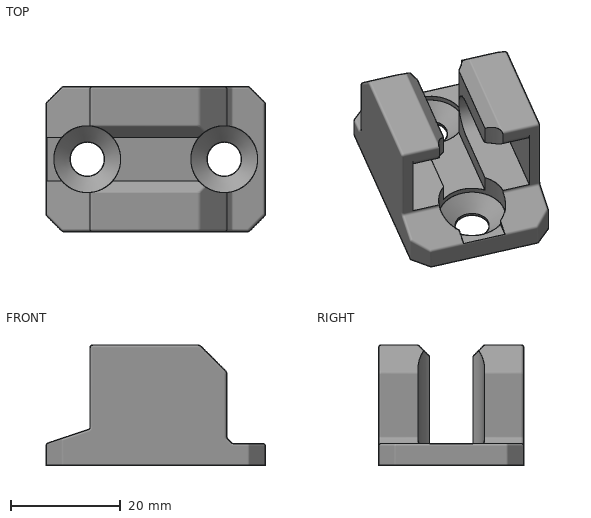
import math

import cadquery as cq

LENGTH = 40.0
WIDTH = 26.5
HEIGHT = 22.0

BASE_HEIGHT = 4.0
WALL_FRONT_X = 8.0
WALL_BACK_X = 33.0
RAMP_SLOPE = 1 / 3
BACK_CHAMFER = 5.0
BACK_CORNER_RADIUS = 0.9
FOOT_CHAMFER = 1.0

CORNER_CHAMFER = 3.0
EDGE_RADIUS = 0.5

SLOT_WIDTH = 7.9
LIP_CHAMFER = 2.1

POCKET_WIDTH = 22.25
POCKET_FLOOR = 7.2
POCKET_END_RADIUS = 4.3
POCKET_END_CENTRE_X = 23.5
CEILING_TILT = 90.0
FLARE_ARCS = [(5.0, 68.0), (11.0, 43.0), (1.5, 0.0)]

HOLE_INSET = 7.5
HOLE_DIAMETER = 6.2
HEAD_DIAMETER = 12.2
CONE_BOTTOM = 0.5
CONE_TOP = 3.0

POCKET_CEILING = POCKET_FLOOR + 2 * POCKET_END_RADIUS
OVERCUT = 1.0


def make_body():
    """Side profile with a rounded back bevel, extruded, with the plan corners cut off."""
    ramp_top = BASE_HEIGHT + WALL_FRONT_X * RAMP_SLOPE
    body = (
        cq.Workplane("XZ")
        .polyline([
            (0, 0),
            (LENGTH, 0),
            (LENGTH, BASE_HEIGHT),
            (WALL_BACK_X + FOOT_CHAMFER, BASE_HEIGHT),
            (WALL_BACK_X, BASE_HEIGHT + FOOT_CHAMFER),
            (WALL_BACK_X, HEIGHT - BACK_CHAMFER),
            (WALL_BACK_X - BACK_CHAMFER, HEIGHT),
            (WALL_FRONT_X, HEIGHT),
            (WALL_FRONT_X, ramp_top),
            (0, BASE_HEIGHT),
        ])
        .close()
        .extrude(WIDTH / 2, both=True)
    )
    plan = (
        cq.Workplane("XY")
        .rect(LENGTH, WIDTH)
        .extrude(HEIGHT)
        .edges("|Z")
        .chamfer(CORNER_CHAMFER)
        .translate((LENGTH / 2, 0, 0))
    )
    back_corners = cq.selectors.BoxSelector(
        (WALL_BACK_X - BACK_CHAMFER - EDGE_RADIUS, -EDGE_RADIUS, HEIGHT - BACK_CHAMFER - EDGE_RADIUS),
        (WALL_BACK_X + EDGE_RADIUS, EDGE_RADIUS, HEIGHT + EDGE_RADIUS),
    )
    body = body.edges("|Y").edges(back_corners).fillet(BACK_CORNER_RADIUS)
    return body.intersect(plan)


def make_lip_opening():
    """Upper part of the slot, widening through 45 degree lips to the top face."""
    half_slot = SLOT_WIDTH / 2
    half_top = half_slot + LIP_CHAMFER
    lip_bottom = HEIGHT - LIP_CHAMFER
    return (
        cq.Workplane("YZ")
        .polyline([
            (-half_slot, POCKET_FLOOR),
            (half_slot, POCKET_FLOOR),
            (half_slot, lip_bottom),
            (half_top, HEIGHT),
            (-half_top, HEIGHT),
            (-half_slot, lip_bottom),
        ])
        .close()
        .extrude(LENGTH)
    )


def round_outer_edges(body):
    """Fillet every edge except those on the bottom face and inside the slot."""
    lip_middle = (SLOT_WIDTH + LIP_CHAMFER) / 2

    def is_rounded(edge):
        middle = edge.Center()
        on_bottom = middle.z < EDGE_RADIUS
        below_opening = middle.z < POCKET_FLOOR - EDGE_RADIUS / 2
        on_lip_or_outside = abs(middle.y) > lip_middle - EDGE_RADIUS
        return not on_bottom and (below_opening or on_lip_or_outside)

    edges = [edge for edge in body.edges().vals() if is_rounded(edge)]
    return body.newObject(edges).fillet(EDGE_RADIUS)


def make_slot():
    """Lower part of the slot, running the full length at base height."""
    return (
        cq.Workplane("XY", origin=(LENGTH / 2, 0, BASE_HEIGHT))
        .rect(LENGTH + 2 * OVERCUT, SLOT_WIDTH)
        .extrude(POCKET_FLOOR - BASE_HEIGHT + OVERCUT)
    )


def flare_points():
    """Middle and end point of each flare arc, from the ceiling to the front face."""
    depth = 0.0
    tilt = CEILING_TILT
    for radius, end_tilt in FLARE_ARCS:
        depth += radius * (math.cos(math.radians(end_tilt)) - math.cos(math.radians(tilt)))
        tilt = end_tilt

    start_x = WALL_FRONT_X + depth
    start_z = POCKET_CEILING
    tilt = CEILING_TILT
    points = [(start_x, start_z)]
    for radius, end_tilt in FLARE_ARCS:
        centre_x = start_x + radius * math.cos(math.radians(tilt))
        centre_z = start_z + radius * math.sin(math.radians(tilt))
        for angle in ((tilt + end_tilt) / 2, end_tilt):
            x = centre_x - radius * math.cos(math.radians(angle))
            z = centre_z - radius * math.sin(math.radians(angle))
            points.append((x, z))
        start_x, start_z = points[-1]
        tilt = end_tilt
    return points


def make_pocket():
    """Wide pocket, open at the front face and round at its far end."""
    points = flare_points()
    front_x = WALL_FRONT_X - EDGE_RADIUS
    profile = (
        cq.Workplane("XZ")
        .moveTo(front_x, POCKET_FLOOR)
        .lineTo(POCKET_END_CENTRE_X, POCKET_FLOOR)
        .threePointArc(
            (POCKET_END_CENTRE_X + POCKET_END_RADIUS, POCKET_FLOOR + POCKET_END_RADIUS),
            (POCKET_END_CENTRE_X, POCKET_CEILING),
        )
        .lineTo(*points[0])
    )
    for middle, end in zip(points[1::2], points[2::2]):
        profile = profile.threePointArc(middle, end)
    mouth_top = points[-1][1]
    return profile.lineTo(front_x, mouth_top).close().extrude(POCKET_WIDTH / 2, both=True)


def make_screw_hole(x):
    """Through hole, cone and head clearance that runs up through the top."""
    hole_radius = HOLE_DIAMETER / 2
    head_radius = HEAD_DIAMETER / 2
    return (
        cq.Workplane("XZ")
        .polyline([
            (0, -OVERCUT),
            (hole_radius, -OVERCUT),
            (hole_radius, CONE_BOTTOM),
            (head_radius, CONE_TOP),
            (head_radius, HEIGHT + OVERCUT),
            (0, HEIGHT + OVERCUT),
        ])
        .close()
        .revolve(360, (0, 0), (0, 1))
        .translate((x, 0, 0))
    )


body = round_outer_edges(make_body().cut(make_lip_opening()))
body = body.cut(make_slot()).cut(make_pocket())
for hole_x in (HOLE_INSET, LENGTH - HOLE_INSET):
    body = body.cut(make_screw_hole(hole_x))

result = body.translate((-LENGTH / 2, 0, 0))